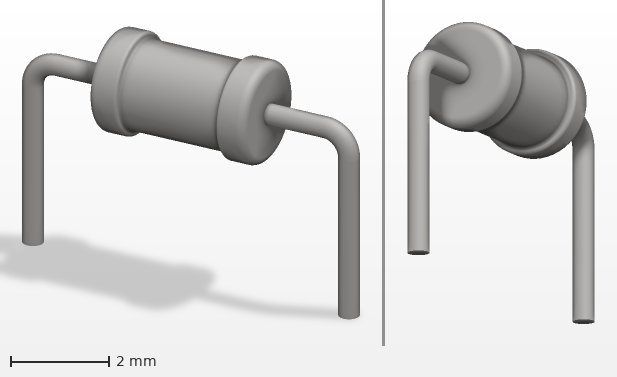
import cadquery as cq

SPAN = 7.75
LEAD_DIAMETER = 0.45
BEND_RADIUS = 0.55
LEAD_DROP = 4.1

BODY_LENGTH = 3.6
CAP_RADIUS = 1.1
CAP_LENGTH = 0.65
OUTER_FILLET = 0.185
SHOULDER_FILLET = 0.07

half_body = BODY_LENGTH / 2
half_waist = half_body - CAP_LENGTH
shoulder_radius = CAP_RADIUS - SHOULDER_FILLET
waist_radius = shoulder_radius - SHOULDER_FILLET
lead_pitch = SPAN - LEAD_DIAMETER


def make_body():
    """Solid of revolution: a waist between two rounded end caps."""
    waist_end = half_waist - SHOULDER_FILLET
    rim_inner = half_waist + SHOULDER_FILLET
    rim_outer = half_body - OUTER_FILLET
    face_radius = CAP_RADIUS - OUTER_FILLET
    profile = (
        cq.Workplane("XZ")
        .moveTo(-half_body, 0)
        .lineTo(-half_body, face_radius)
        .radiusArc((-rim_outer, CAP_RADIUS), OUTER_FILLET)
        .lineTo(-rim_inner, CAP_RADIUS)
        .radiusArc((-half_waist, shoulder_radius), SHOULDER_FILLET)
        .radiusArc((-waist_end, waist_radius), -SHOULDER_FILLET)
        .lineTo(waist_end, waist_radius)
        .radiusArc((half_waist, shoulder_radius), -SHOULDER_FILLET)
        .radiusArc((rim_inner, CAP_RADIUS), SHOULDER_FILLET)
        .lineTo(rim_outer, CAP_RADIUS)
        .radiusArc((half_body, face_radius), OUTER_FILLET)
        .lineTo(half_body, 0)
        .close()
    )
    return profile.revolve(360, (0, 0, 0), (1, 0, 0))


def make_lead(side):
    """Round wire from the body's end face outward, then bent down; side is -1 or 1."""
    wire_x = side * lead_pitch / 2
    bend_start = (wire_x - side * BEND_RADIUS, 0)
    bend_end = (wire_x, -BEND_RADIUS)
    path = (
        cq.Workplane("XZ")
        .moveTo(side * half_body, 0)
        .lineTo(*bend_start)
        .radiusArc(bend_end, side * BEND_RADIUS)
        .lineTo(wire_x, -LEAD_DROP)
    )
    section = cq.Workplane("YZ", origin=(side * half_body, 0, 0)).circle(LEAD_DIAMETER / 2)
    return section.sweep(path)


body = make_body()
leads = [make_lead(side) for side in (-1, 1)]

result = cq.Compound.makeCompound([body.val(), *[lead.val() for lead in leads]])